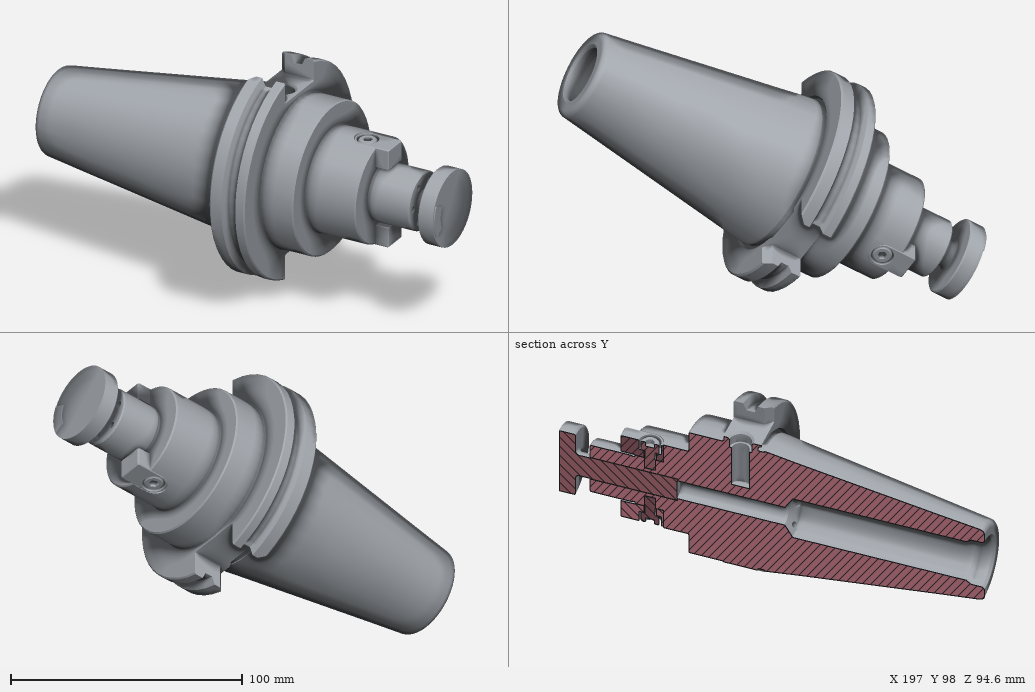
import cadquery as cq
import math

overall_length = 197.0

taper_length = 101.8
gauge_radius = 34.9
taper_ratio = 7 / 24
taper_nose_radius = gauge_radius - taper_length * taper_ratio / 2
nose_fillet = 3.0
neck_radius = 34.3

flange_start = 103.0
flange_end = 120.5
flange_radius = 49.0
flange_rear_chamfer = 0.8
flange_front_chamfer = 0.5
groove_center = 112.7
groove_mouth_width = 6.9
groove_floor_width = 3.7
groove_floor_radius = 45.5
face_groove_mouth_radius = 36.6
face_groove_floor_radius = 36.0
face_groove_depth = 1.5

drive_slot_width = 25.5
drive_slot_chamfer = 3.3
upper_slot_floor = 37.6
lower_slot_floor = 35.3
drive_slot_fillet = 0.5

side_hole_mouth_diameter = 12.0
side_hole_diameter = 10.0
side_hole_depth = 5.3
side_hole_tip_diameter = 8.0
side_hole_floor_radius = 11.0
side_hole_countersink = (side_hole_mouth_diameter - side_hole_diameter) / 2

collar_end = 136.7
collar_radius = 34.9
shoulder_end = 161.5
shoulder_radius = 24.0
pilot_end = 182.2
pilot_radius = 27.0 / 2
pilot_undercut_radius = 26.4 / 2
pilot_undercut_width = 1.0
pilot_bevel_length = 0.8
step_chamfer = 0.5
step_fillet = 0.5

bore_mouth_radius = 27.8 / 2
bore_entry_radius = 25.5 / 2
bore_radius = 22.0 / 2
bore_core_radius = 10.0 / 2
bore_countersink = bore_mouth_radius - bore_entry_radius
bore_entry_end = 6.3
bore_cone_end = 8.7
bore_end = 88.6
drill_tip_half_angle = math.radians(59)
drill_tip_end = bore_end + (bore_radius - bore_core_radius) / math.tan(drill_tip_half_angle)

coolant_hole_count = 6
coolant_hole_diameter = 3.0
coolant_circle_radius = 9.7

key_width = 12.0
key_center = 154.5
key_end = 168.0
key_base = 14.2
key_top = 23.5
key_end_chamfer = 0.5
key_top_chamfer = 0.4
key_screw_clearance_diameter = 5.5
key_counterbore_diameter = 10.0
key_counterbore_depth = 5.3

screw_head_diameter = 8.5
screw_head_recess = 0.2
screw_head_chamfer = 0.5
screw_thread_diameter = 5.0
screw_tip = 8.3
screw_socket_flats = 4.0
screw_socket_depth = 2.4

bolt_radius = 12.0 / 2
bolt_tip = 141.8
bolt_head_start = 188.7
bolt_head_end = 196.4
bolt_head_radius = 35.0 / 2
bolt_head_chamfer = 0.5
bolt_fillet = 1.5
bolt_pad_inner_radius = 11.6
bolt_pad_outer_radius = 17.0
bolt_pad_angle = 52.0


def revolve_about_x(profile):
    """Turn a closed profile, drawn with x along the axis and y as radius, around X."""
    return profile.close().revolve(360, (0, 0, 0), (1, 0, 0))


def cylinder_x(start, end, radius):
    return cq.Workplane("YZ", origin=(start, 0, 0)).circle(radius).extrude(end - start)


def cylinder_z(x, bottom, top, diameter):
    return cq.Workplane("XY", origin=(x, 0, bottom)).circle(diameter / 2).extrude(top - bottom)


def cone_z(x, bottom, top, bottom_diameter, top_diameter):
    cone = cq.Solid.makeCone(bottom_diameter / 2, top_diameter / 2, top - bottom, cq.Vector(x, 0, bottom))
    return cq.Workplane(obj=cone)


def turned_to_underside(shape):
    return shape.rotate((0, 0, 0), (1, 0, 0), 180)


def taper():
    cone = revolve_about_x(
        cq.Workplane("XY")
        .lineTo(0, taper_nose_radius)
        .lineTo(taper_length, gauge_radius)
        .lineTo(taper_length, 0)
    )
    return cone.edges("<X").fillet(nose_fillet)


def flange():
    half_mouth = groove_mouth_width / 2
    half_floor = groove_floor_width / 2
    return revolve_about_x(
        cq.Workplane("XY")
        .moveTo(taper_length, 0)
        .lineTo(taper_length, neck_radius)
        .lineTo(flange_start + face_groove_depth, neck_radius)
        .lineTo(flange_start + face_groove_depth, face_groove_floor_radius)
        .lineTo(flange_start, face_groove_mouth_radius)
        .lineTo(flange_start, flange_radius - flange_rear_chamfer)
        .lineTo(flange_start + flange_rear_chamfer, flange_radius)
        .lineTo(groove_center - half_mouth, flange_radius)
        .lineTo(groove_center - half_floor, groove_floor_radius)
        .lineTo(groove_center + half_floor, groove_floor_radius)
        .lineTo(groove_center + half_mouth, flange_radius)
        .lineTo(flange_end - flange_front_chamfer, flange_radius)
        .lineTo(flange_end, flange_radius - flange_front_chamfer)
        .lineTo(flange_end, 0)
    )


def collar_shoulder_and_pilot():
    pilot_start = shoulder_end + pilot_undercut_width
    return revolve_about_x(
        cq.Workplane("XY")
        .moveTo(flange_end, 0)
        .lineTo(flange_end, collar_radius + step_fillet)
        .radiusArc((flange_end + step_fillet, collar_radius), -step_fillet)
        .lineTo(collar_end - step_chamfer, collar_radius)
        .lineTo(collar_end, collar_radius - step_chamfer)
        .lineTo(collar_end, shoulder_radius + step_fillet)
        .radiusArc((collar_end + step_fillet, shoulder_radius), -step_fillet)
        .lineTo(shoulder_end - step_chamfer, shoulder_radius)
        .lineTo(shoulder_end, shoulder_radius - step_chamfer)
        .lineTo(shoulder_end, pilot_undercut_radius)
        .lineTo(pilot_start, pilot_undercut_radius)
        .lineTo(pilot_start + pilot_bevel_length, pilot_radius)
        .lineTo(pilot_end - step_chamfer, pilot_radius)
        .lineTo(pilot_end, pilot_radius - step_chamfer)
        .lineTo(pilot_end, 0)
    )


def drive_slot(floor):
    """Cutter for an upper drive slot, with chamfered side walls and filleted floor corners."""
    half_width = drive_slot_width / 2
    half_mouth = half_width + drive_slot_chamfer
    cutter = (
        cq.Workplane("XY", origin=(0, 0, floor))
        .moveTo(flange_start, -half_mouth)
        .lineTo(flange_start + drive_slot_chamfer, -half_width)
        .lineTo(flange_end, -half_width)
        .lineTo(flange_end, half_width)
        .lineTo(flange_start + drive_slot_chamfer, half_width)
        .lineTo(flange_start, half_mouth)
        .close()
        .extrude(flange_radius - floor)
    )
    return cutter.faces("<Z").edges("not |Y").fillet(drive_slot_fillet)


def side_hole():
    """Countersunk blind stepped hole in the upper slot floor, ending on a rounded floor."""
    countersink_bottom = upper_slot_floor - side_hole_countersink
    shoulder = upper_slot_floor - side_hole_depth
    mouth = cone_z(
        groove_center, countersink_bottom, upper_slot_floor, side_hole_diameter, side_hole_mouth_diameter
    )
    thread = cylinder_z(groove_center, shoulder, countersink_bottom, side_hole_diameter)
    tip = cylinder_z(groove_center, 0, shoulder, side_hole_tip_diameter)
    tip = tip.cut(cylinder_x(flange_start, flange_end, side_hole_floor_radius))
    return mouth.union(thread).union(tip)


def pull_stud_bore():
    """Countersunk bore with a drill tip, continued by a core hole that ends at the bolt."""
    return revolve_about_x(
        cq.Workplane("XY")
        .lineTo(0, bore_mouth_radius)
        .lineTo(bore_countersink, bore_entry_radius)
        .lineTo(bore_entry_end, bore_entry_radius)
        .lineTo(bore_cone_end, bore_radius)
        .lineTo(bore_end, bore_radius)
        .lineTo(drill_tip_end, bore_core_radius)
        .lineTo(bolt_tip, bore_core_radius)
        .lineTo(bolt_tip, 0)
    )


def coolant_holes():
    """Ring of holes from the drill tip of the bore to the front of the pilot."""
    return (
        cq.Workplane("YZ", origin=(bore_end, 0, 0))
        .polarArray(coolant_circle_radius, 0, 360, coolant_hole_count)
        .circle(coolant_hole_diameter / 2)
        .extrude(pilot_end - bore_end)
    )


def key_outline(end, height):
    """Block on the key seat, rounded at the screw and square at the given end."""
    half_width = key_width / 2
    return (
        cq.Workplane("XY", origin=(0, 0, key_base))
        .moveTo(key_center, half_width)
        .lineTo(end, half_width)
        .lineTo(end, -half_width)
        .lineTo(key_center, -half_width)
        .threePointArc((key_center - half_width, 0), (key_center, half_width))
        .close()
        .extrude(height)
    )


def key_seat():
    """Cutter for the upper key slot and the threaded hole below it."""
    slot = key_outline(shoulder_end, shoulder_radius - key_base)
    return slot.union(cylinder_z(key_center, screw_tip, key_base, screw_thread_diameter))


def make_holder():
    body = taper().union(flange()).union(collar_shoulder_and_pilot())
    body = body.cut(drive_slot(upper_slot_floor))
    body = body.cut(turned_to_underside(drive_slot(lower_slot_floor)))
    body = body.cut(side_hole()).cut(pull_stud_bore()).cut(coolant_holes())
    body = body.cut(key_seat()).cut(turned_to_underside(key_seat()))
    return body.cut(cylinder_x(bolt_tip, pilot_end, bolt_radius))


def make_key():
    block = key_outline(key_end, key_top - key_base)
    block = block.faces(">X").edges("|Z").chamfer(key_end_chamfer)
    block = block.faces(">Z").edges().chamfer(key_top_chamfer)
    clearance = cylinder_z(key_center, key_base, key_top, key_screw_clearance_diameter)
    counterbore = cylinder_z(
        key_center, key_top - key_counterbore_depth, key_top, key_counterbore_diameter
    )
    return block.cut(clearance).cut(counterbore)


def make_key_screw():
    head_bottom = key_top - key_counterbore_depth
    head_top = key_top - screw_head_recess
    head = cylinder_z(key_center, head_bottom, head_top, screw_head_diameter)
    head = head.faces(">Z").edges().chamfer(screw_head_chamfer)
    shank = cylinder_z(key_center, screw_tip, head_bottom, screw_thread_diameter)
    socket_corners = screw_socket_flats / math.cos(math.pi / 6)
    socket = (
        cq.Workplane("XY", origin=(key_center, 0, head_top - screw_socket_depth))
        .transformed(rotate=(0, 0, 90))
        .polygon(6, socket_corners)
        .extrude(screw_socket_depth)
    )
    return head.union(shank).cut(socket)


def bolt_head_pad():
    """Low curved pad on the front of the bolt head, centred on -Y."""
    half_angle = math.radians(bolt_pad_angle / 2)

    def rim_point(radius, angle):
        return (-radius * math.cos(angle), radius * math.sin(angle))

    return (
        cq.Workplane("YZ", origin=(bolt_head_end, 0, 0))
        .moveTo(*rim_point(bolt_pad_inner_radius, -half_angle))
        .threePointArc(rim_point(bolt_pad_inner_radius, 0), rim_point(bolt_pad_inner_radius, half_angle))
        .lineTo(*rim_point(bolt_pad_outer_radius, half_angle))
        .threePointArc(rim_point(bolt_pad_outer_radius, 0), rim_point(bolt_pad_outer_radius, -half_angle))
        .close()
        .extrude(overall_length - bolt_head_end)
    )


def make_clamping_bolt():
    turned = revolve_about_x(
        cq.Workplane("XY")
        .moveTo(bolt_tip, 0)
        .lineTo(bolt_tip, bolt_radius)
        .lineTo(bolt_head_start - bolt_fillet, bolt_radius)
        .radiusArc((bolt_head_start, bolt_radius + bolt_fillet), -bolt_fillet)
        .lineTo(bolt_head_start, bolt_head_radius - bolt_head_chamfer)
        .lineTo(bolt_head_start + bolt_head_chamfer, bolt_head_radius)
        .lineTo(bolt_head_end, bolt_head_radius)
        .lineTo(bolt_head_end, 0)
    )
    return turned.union(bolt_head_pad())


holder = make_holder()
clamping_bolt = make_clamping_bolt()

keys = []
key_screws = []
for side_angle in (0, 180):
    keys.append(make_key().rotate((0, 0, 0), (1, 0, 0), side_angle))
    key_screws.append(make_key_screw().rotate((0, 0, 0), (1, 0, 0), side_angle))

result = cq.Compound.makeCompound(
    [holder.val(), clamping_bolt.val()]
    + [key.val() for key in keys]
    + [screw.val() for screw in key_screws]
)